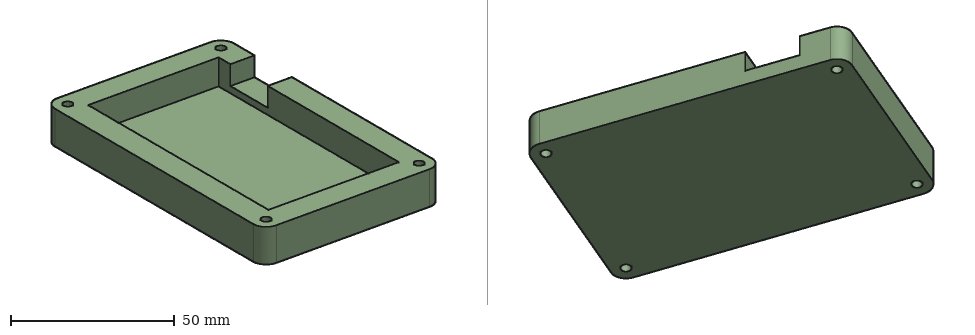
import cadquery as cq

length = 107.6
width = 69.8
height = 13.0
corner_radius = 5.1

wall = 9.5
pocket_depth = 10.0

notch_offset = 15.3
notch_width = 18.3
notch_depth = 7.5

hole_diameter = 3.4
hole_spacing_x = length - 2 * corner_radius
hole_spacing_y = width - 2 * corner_radius


def make_block():
    """Block standing on Z = 0 with rounded vertical corners."""
    block = cq.Workplane("XY").box(length, width, height, centered=(True, True, False))
    return block.edges("|Z").fillet(corner_radius)


def make_pocket():
    """Volume of the rectangular pocket."""
    return (
        cq.Workplane("XY", origin=(0, 0, height - pocket_depth))
        .rect(length - 2 * wall, width - 2 * wall)
        .extrude(pocket_depth)
    )


def make_notch():
    """Volume of the notch that joins the pocket to the +Y side."""
    corner = (notch_offset - length / 2, width / 2 - wall, height - notch_depth)
    return cq.Workplane("XY", origin=corner).box(notch_width, wall, notch_depth, centered=False)


def make_holes():
    """Four through holes at the corners."""
    return (
        cq.Workplane("XY")
        .rect(hole_spacing_x, hole_spacing_y, forConstruction=True)
        .vertices()
        .circle(hole_diameter / 2)
        .extrude(height)
    )


result = make_block().cut(make_pocket()).cut(make_notch()).cut(make_holes())